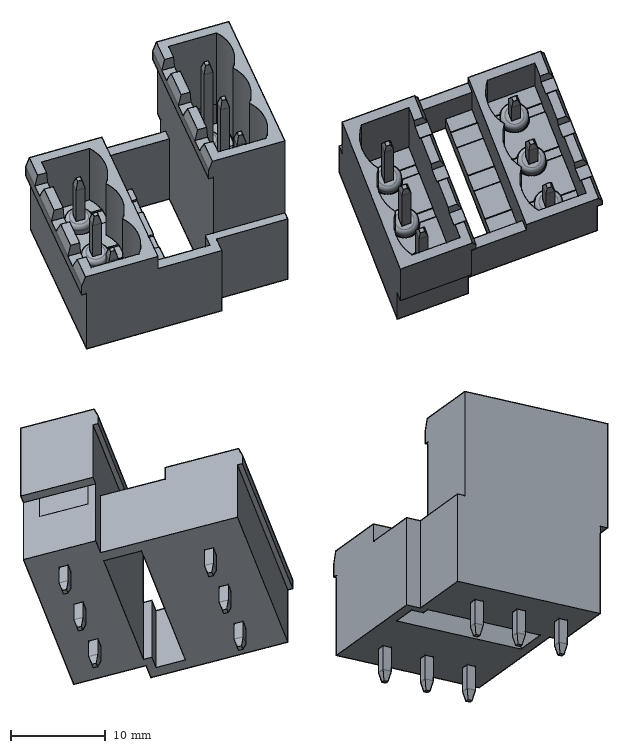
import cadquery as cq


PITCH = 5.08
PINS_PER_ROW = 3
ROW_SPACING = 15.25
FIRST_PIN_Y = -3.75

SIDE_WALL = 1.0
BLOCK_WIDTH = PINS_PER_ROW * PITCH + 2 * SIDE_WALL
BLOCK_DEPTH = 8.0
TOTAL_HEIGHT = 25.9
UPPER_TOP = 22.05
LOWER_TOP = 12.07
LOWER_X = PITCH / 2
LOWER_Y = -15.15

LIP_DEPTH = 8.55
LIP_SLOPE_HEIGHT = 1.3
LIP_SLOPE_DEPTH = 0.41
UPPER_LIP_HEIGHT = 2.75
LOWER_LIP_HEIGHT = 2.85

SCALLOP_PEAK = 0.9
SCALLOP_CUSP = 1.75
POCKET_FRONT = 7.12
UPPER_FLOOR = 7.0
LOWER_FLOOR = 3.5

NOTCH_TOP_WIDTH = 2.02
NOTCH_BOTTOM_WIDTH = 1.42

RECESS_DEPTH = 0.25
COLLAR_CLEARANCE = 0.1
REAR_GROOVE_WIDTH = 1.81
FRONT_GROOVE_WIDTH = 1.0

BASE_HEIGHT = 10.05
BASE_LEFT = 0.9
BASE_RIGHT = 18.13
WALL_THICKNESS = 1.11
JOG_DEPTH = 0.93
LEDGE_REAR_Y = -12.17

PIN_WIDTH = 1.0
PIN_TIP_WIDTH = 0.5
PIN_TAPER = 1.15
PIN_BOTTOM = UPPER_TOP - TOTAL_HEIGHT
PIN_TOP_RECESS = 1.27

COLLAR_DIAMETER = 3.0
COLLAR_HEIGHT = 1.27
COLLAR_ROUNDING = 0.5


def box(x_min, x_max, y_min, y_max, z_min, z_max):
    """Axis-aligned box between the given limits."""
    size = (x_max - x_min, y_max - y_min, z_max - z_min)
    return cq.Workplane("XY").box(*size, centered=False).translate((x_min, y_min, z_min))


def pin_positions(block_x, pin_y):
    """Centres of the contacts in one row."""
    first_x = block_x + SIDE_WALL + PITCH / 2
    return [(first_x + i * PITCH, pin_y) for i in range(PINS_PER_ROW)]


def block(x, y, bottom, top, lip_height):
    """Solid block with the latching lip along its front edge."""
    profile = [
        (y, bottom),
        (y, top),
        (y - LIP_DEPTH + LIP_SLOPE_DEPTH, top),
        (y - LIP_DEPTH, top - LIP_SLOPE_HEIGHT),
        (y - LIP_DEPTH, top - lip_height),
        (y - BLOCK_DEPTH, top - lip_height),
        (y - BLOCK_DEPTH, bottom),
    ]
    return cq.Workplane("YZ").polyline(profile).close().extrude(BLOCK_WIDTH).translate((x, 0, 0))


def pocket(x, y, floor, top):
    """Cavity with one scallop per contact in its rear wall."""
    left = x + SIDE_WALL
    right = left + PINS_PER_ROW * PITCH
    outline = cq.Workplane("XY").moveTo(right, y - POCKET_FRONT).lineTo(left, y - POCKET_FRONT)
    outline = outline.lineTo(left, y - SCALLOP_CUSP)
    for i in range(PINS_PER_ROW):
        start = left + i * PITCH
        peak = (start + PITCH / 2, y - SCALLOP_PEAK)
        outline = outline.threePointArc(peak, (start + PITCH, y - SCALLOP_CUSP))
    return outline.close().extrude(top - floor).translate((0, 0, floor))


def notch(pin_x, block_y, top):
    """Tapered notch through the front wall and the sloped part of the lip."""
    bottom = top - LIP_SLOPE_HEIGHT
    outline = [
        (pin_x - NOTCH_TOP_WIDTH / 2, top),
        (pin_x + NOTCH_TOP_WIDTH / 2, top),
        (pin_x + NOTCH_BOTTOM_WIDTH / 2, bottom),
        (pin_x - NOTCH_BOTTOM_WIDTH / 2, bottom),
    ]
    cutter = cq.Workplane("XZ").polyline(outline).close().extrude(LIP_DEPTH - POCKET_FRONT)
    return cutter.translate((0, block_y - POCKET_FRONT, 0))


def floor_recess(pin_x, pin_y, rear_y, front_y, floor):
    """Round collar seat with a wide groove to the rear and a narrow groove to the front."""
    bottom = floor - RECESS_DEPTH
    rear_half = REAR_GROOVE_WIDTH / 2
    front_half = FRONT_GROOVE_WIDTH / 2
    rear = box(pin_x - rear_half, pin_x + rear_half, pin_y, rear_y, bottom, floor)
    front = box(pin_x - front_half, pin_x + front_half, front_y, pin_y, bottom, floor)
    seat = cq.Workplane("XY").circle(COLLAR_DIAMETER / 2 + COLLAR_CLEARANCE).extrude(RECESS_DEPTH)
    return seat.translate((pin_x, pin_y, bottom)).union(rear).union(front)


def square_rod(bottom, top, bottom_width, top_width):
    """Square rod along Z whose width changes evenly from bottom to top."""
    rod = cq.Workplane("XY").workplane(offset=bottom).rect(bottom_width, bottom_width)
    return rod.workplane(offset=top - bottom).rect(top_width, top_width).loft(ruled=True)


def pin_rod(pin_x, pin_y, top):
    """Straight square contact, tapered at both ends."""
    shank_bottom = PIN_BOTTOM + PIN_TAPER
    shank_top = top - PIN_TAPER
    rod = square_rod(shank_bottom, shank_top, PIN_WIDTH, PIN_WIDTH)
    rod = rod.union(square_rod(shank_top, top, PIN_WIDTH, PIN_TIP_WIDTH))
    rod = rod.union(square_rod(PIN_BOTTOM, shank_bottom, PIN_TIP_WIDTH, PIN_WIDTH))
    return rod.translate((pin_x, pin_y, 0))


def collar(pin_x, pin_y, floor):
    """Round collar with a rounded upper rim."""
    ring = cq.Workplane("XY").circle(COLLAR_DIAMETER / 2).extrude(COLLAR_HEIGHT)
    ring = ring.faces(">Z").edges().fillet(COLLAR_ROUNDING)
    return ring.translate((pin_x, pin_y, floor - RECESS_DEPTH))


def pin(pin_x, pin_y, floor, block_top):
    """Contact pin with its collar."""
    return pin_rod(pin_x, pin_y, block_top - PIN_TOP_RECESS).union(collar(pin_x, pin_y, floor))


def base():
    """Foot of the upper block and the walls and ledge that join it to the lower block."""
    foot_front = -BLOCK_DEPTH
    lower_right = LOWER_X + BLOCK_WIDTH
    wall_inner_left = LOWER_X + WALL_THICKNESS
    wall_inner_right = lower_right - WALL_THICKNESS
    foot = box(BASE_LEFT, BASE_RIGHT, foot_front, 0, 0, BASE_HEIGHT)
    left_wall = box(LOWER_X, wall_inner_left, LOWER_Y, foot_front, 0, BASE_HEIGHT)
    right_wall = box(wall_inner_right, lower_right, LOWER_Y, foot_front, 0, BASE_HEIGHT)
    jog = box(BLOCK_WIDTH, lower_right, foot_front - JOG_DEPTH, foot_front, 0, BASE_HEIGHT)
    ledge = box(LOWER_X, lower_right, LOWER_Y, LEDGE_REAR_Y, 0, LOWER_FLOOR)
    return foot.union(left_wall).union(right_wall).union(jog).union(ledge)


upper_pin_positions = pin_positions(0, FIRST_PIN_Y)
lower_pin_positions = pin_positions(LOWER_X, FIRST_PIN_Y - ROW_SPACING)

pins = [pin(x, y, UPPER_FLOOR, UPPER_TOP) for x, y in upper_pin_positions]
pins += [pin(x, y, LOWER_FLOOR, LOWER_TOP) for x, y in lower_pin_positions]

upper_block = block(0, 0, BASE_HEIGHT, UPPER_TOP, UPPER_LIP_HEIGHT)
lower_block = block(LOWER_X, LOWER_Y, 0, LOWER_TOP, LOWER_LIP_HEIGHT)
housing = base().union(upper_block).union(lower_block)
housing = housing.cut(pocket(0, 0, UPPER_FLOOR, UPPER_TOP))
housing = housing.cut(pocket(LOWER_X, LOWER_Y, LOWER_FLOOR, LOWER_TOP))

for x, y in upper_pin_positions:
    housing = housing.cut(notch(x, 0, UPPER_TOP))
    housing = housing.cut(floor_recess(x, y, -SCALLOP_PEAK, -POCKET_FRONT, UPPER_FLOOR))

for x, y in lower_pin_positions:
    housing = housing.cut(notch(x, LOWER_Y, LOWER_TOP))
    housing = housing.cut(floor_recess(x, y, LEDGE_REAR_Y, LOWER_Y - POCKET_FRONT, LOWER_FLOOR))

for contact in pins:
    housing = housing.cut(contact)

result = cq.Compound.makeCompound([housing.val(), *[contact.val() for contact in pins]])